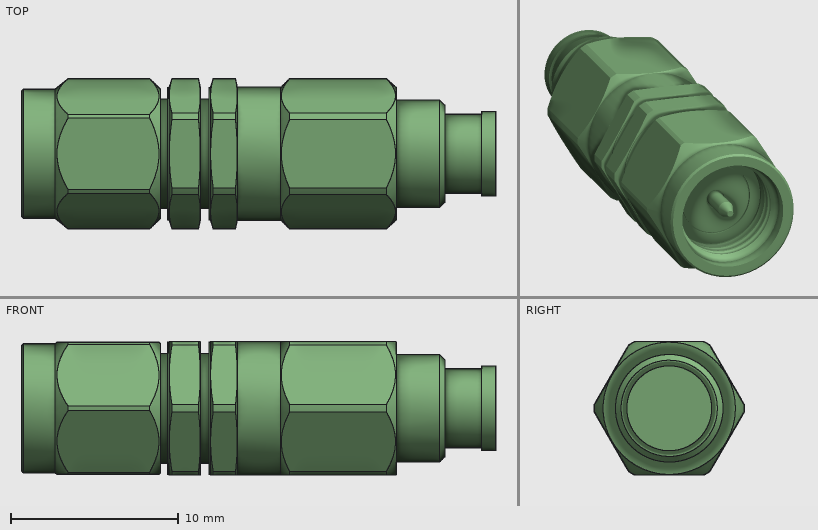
import cadquery as cq
import math

TOTAL_LENGTH = 28.4

COLLAR_DIAMETER = 7.75
COLLAR_CHAMFER = 0.1
COUPLING_HEX_START = 2.02
COUPLING_HEX_END = 8.32
COUPLING_ACROSS_FLATS = 7.92

BODY_ACROSS_FLATS = 8.0
ACROSS_CORNERS = 9.0
FRONT_NUT_START = 8.75
FRONT_NUT_END = 10.7
REAR_NUT_START = 11.22
REAR_NUT_END = 12.92
WASHER_FACE_THICKNESS = 0.09
REAR_HEX_START = 15.5
REAR_HEX_END = 22.45

NECK_DIAMETER = 6.6
BARREL_DIAMETER = BODY_ACROSS_FLATS
STEP_DIAMETER = 6.45
STEP_END = 25.35
STEP_CHAMFER = 0.35
TAIL_DIAMETER = 4.75
FLANGE_DIAMETER = 5.08
FLANGE_START = 27.55

COUPLING_HEX_FRONT_CHAMFER = 0.77
COUPLING_HEX_REAR_CHAMFER = 0.65
REAR_HEX_FRONT_CHAMFER = 0.55
REAR_HEX_REAR_CHAMFER = 0.6
NUT_FRONT_CHAMFER = 0.17
NUT_REAR_CHAMFER = 0.1
BODY_HEX_ROOT_DIAMETER = 7.92

ENTRY_DIAMETER = 6.35
ENTRY_DEPTH = 0.9
BORE_DIAMETER = 5.65
CONE_END = 1.3

THREAD_PITCH = 0.68
THREAD_GROOVES = 3
THREAD_CREST_WIDTH = 0.17
THREAD_DEPTH = 0.35
BORE_DEPTH = CONE_END + THREAD_GROOVES * THREAD_PITCH

FLOOR_JOINT_DEPTH = 0.15
INSULATOR_JOINT_INNER = 4.2
INSULATOR_JOINT_OUTER = 4.37
PIN_JOINT_OUTER = 1.15

PIN_DIAMETER = 0.95
PIN_TIP_DIAMETER = 0.37
PIN_TIP_X = 0.45
PIN_SHOULDER_X = 1.33


def cylinder(diameter, start, end):
    """Round bar along X from start to end."""
    return cq.Workplane("YZ", origin=(start, 0, 0)).circle(diameter / 2).extrude(end - start)


def revolved(profile):
    """Solid of revolution about X from (x, radius) points."""
    return cq.Workplane("XY").polyline(profile).close().revolve(360, (0, 0, 0), (1, 0, 0))


def hexagon(across_flats, start, end, front_chamfer, rear_chamfer, root_diameter):
    """Hexagonal bar with flats on top and bottom, rounded corners and conical chamfers."""
    bar = (
        cq.Workplane("YZ", origin=(start, 0, 0))
        .polygon(6, across_flats / math.cos(math.pi / 6))
        .extrude(end - start)
    )
    root = root_diameter / 2
    corner = ACROSS_CORNERS / 2
    envelope = revolved([
        (start, 0),
        (start, root),
        (start + front_chamfer, corner),
        (end - rear_chamfer, corner),
        (end, root),
        (end, 0),
    ])
    return bar.intersect(envelope)


def nut(start, end):
    """Thin hexagon nut with a round washer face at the front."""
    hex_start = start + WASHER_FACE_THICKNESS
    washer_face = cylinder(BODY_HEX_ROOT_DIAMETER, start, hex_start)
    body = hexagon(
        BODY_ACROSS_FLATS, hex_start, end,
        NUT_FRONT_CHAMFER, NUT_REAR_CHAMFER, BODY_HEX_ROOT_DIAMETER,
    )
    return body.union(washer_face)


collar = cylinder(COLLAR_DIAMETER, 0, COUPLING_HEX_START).faces("<X").chamfer(COLLAR_CHAMFER)
coupling_hex = hexagon(
    COUPLING_ACROSS_FLATS, COUPLING_HEX_START, COUPLING_HEX_END,
    COUPLING_HEX_FRONT_CHAMFER, COUPLING_HEX_REAR_CHAMFER, COLLAR_DIAMETER,
)

neck = cylinder(NECK_DIAMETER, COUPLING_HEX_END, REAR_NUT_START)
front_nut = nut(FRONT_NUT_START, FRONT_NUT_END)
rear_nut = nut(REAR_NUT_START, REAR_NUT_END)
barrel = cylinder(BARREL_DIAMETER, REAR_NUT_END, REAR_HEX_START)
rear_hex = hexagon(
    BODY_ACROSS_FLATS, REAR_HEX_START, REAR_HEX_END,
    REAR_HEX_FRONT_CHAMFER, REAR_HEX_REAR_CHAMFER, BODY_HEX_ROOT_DIAMETER,
)
step = cylinder(STEP_DIAMETER, REAR_HEX_END, STEP_END).faces(">X").chamfer(STEP_CHAMFER)
tail = cylinder(TAIL_DIAMETER, STEP_END, FLANGE_START)
flange = cylinder(FLANGE_DIAMETER, FLANGE_START, TOTAL_LENGTH)

socket = revolved([
    (0, 0),
    (0, ENTRY_DIAMETER / 2),
    (ENTRY_DEPTH, ENTRY_DIAMETER / 2),
    (CONE_END, BORE_DIAMETER / 2),
    (BORE_DEPTH, BORE_DIAMETER / 2),
    (BORE_DEPTH, 0),
])

groove_width = THREAD_PITCH - THREAD_CREST_WIDTH
for index in range(THREAD_GROOVES):
    groove_start = CONE_END + index * THREAD_PITCH
    groove = revolved([
        (groove_start, 0),
        (groove_start, BORE_DIAMETER / 2),
        (groove_start + groove_width / 2, BORE_DIAMETER / 2 + THREAD_DEPTH),
        (groove_start + groove_width, BORE_DIAMETER / 2),
        (groove_start + groove_width, 0),
    ])
    socket = socket.union(groove)

joint_end = BORE_DEPTH + FLOOR_JOINT_DEPTH
for inner, outer in ((INSULATOR_JOINT_INNER, INSULATOR_JOINT_OUTER), (PIN_DIAMETER, PIN_JOINT_OUTER)):
    ring = cylinder(outer, BORE_DEPTH, joint_end).cut(cylinder(inner, BORE_DEPTH, joint_end))
    socket = socket.union(ring)

pin = revolved([
    (PIN_TIP_X, 0),
    (PIN_TIP_X, PIN_TIP_DIAMETER / 2),
    (PIN_SHOULDER_X, PIN_DIAMETER / 2),
    (BORE_DEPTH, PIN_DIAMETER / 2),
    (BORE_DEPTH, 0),
])

result = collar
for section in (coupling_hex, neck, front_nut, rear_nut, barrel, rear_hex, step, tail, flange):
    result = result.union(section)
result = result.cut(socket).union(pin)